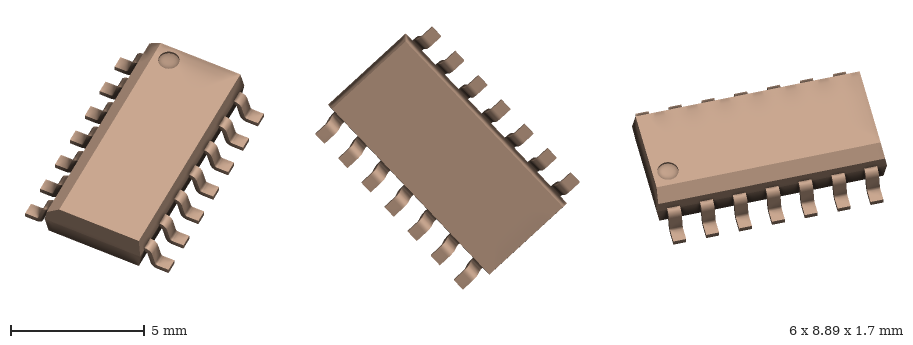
import cadquery as cq
import math

body_width = 4.0
body_length = 8.89
standoff = 0.12
overall_height = 1.7
draft_angle = 8.0
half_height = (overall_height - standoff) / 2
parting_z = standoff + half_height

bevel_width = 0.445
bevel_depth = 0.39

mark_diameter = 0.8
mark_depth = 0.1
mark_x = -0.82
mark_y = 3.74

lead_span = 6.0
lead_count = 7
lead_pitch = 1.27
lead_width = 0.5
lead_thickness = 0.205
lead_embed = 0.18
shoulder_top = 0.99
foot_length = 0.46
inner_radius = 0.1
outer_radius = inner_radius + lead_thickness
bend_angle = math.radians(75)


def make_body():
    """Two halves tapering away from the parting plane, one top edge bevelled."""
    parting = cq.Workplane("XY").workplane(offset=parting_z)
    upper = parting.rect(body_width, body_length).extrude(half_height, taper=draft_angle)
    lower = parting.rect(body_width, body_length).extrude(-half_height, taper=draft_angle)
    upper = upper.faces(">Z").edges("<X").chamfer(bevel_depth, bevel_width)
    return upper.union(lower)


def cut_pin_mark(body):
    """Shallow round recess beside pin 1."""
    mark = (
        cq.Workplane("XY")
        .workplane(offset=overall_height - mark_depth)
        .center(mark_x, mark_y)
        .circle(mark_diameter / 2)
        .extrude(mark_depth)
    )
    return body.cut(mark)


def on_circle(center, radius, angle):
    """Point at the given angle, measured clockwise from straight up."""
    return (center[0] + radius * math.sin(angle), center[1] + radius * math.cos(angle))


def make_lead():
    """Left lead centred on Y = 0: flat foot, sloping shank, shoulder entering the body."""
    tip_x = -lead_span / 2
    inside_x = -body_width / 2 + lead_embed
    shoulder_bottom = shoulder_top - lead_thickness

    bend_radii = inner_radius + outer_radius
    bend_rise = bend_radii * (1 - math.cos(bend_angle))
    shank_length = (shoulder_bottom - bend_rise) / math.sin(bend_angle)
    bend_run = bend_radii * math.sin(bend_angle) + shank_length * math.cos(bend_angle)

    low_center = (tip_x + foot_length, outer_radius)
    high_center = (low_center[0] + bend_run, shoulder_top - outer_radius)
    half_bend = bend_angle / 2
    low_start = math.pi
    low_middle = math.pi - half_bend
    low_end = math.pi - bend_angle

    profile = (
        cq.Workplane("XZ")
        .moveTo(tip_x, 0)
        .lineTo(low_center[0], 0)
        .threePointArc(
            on_circle(low_center, outer_radius, low_middle),
            on_circle(low_center, outer_radius, low_end),
        )
        .lineTo(*on_circle(high_center, inner_radius, -bend_angle))
        .threePointArc(
            on_circle(high_center, inner_radius, -half_bend),
            on_circle(high_center, inner_radius, 0),
        )
        .lineTo(inside_x, shoulder_bottom)
        .lineTo(inside_x, shoulder_top)
        .lineTo(high_center[0], shoulder_top)
        .threePointArc(
            on_circle(high_center, outer_radius, -half_bend),
            on_circle(high_center, outer_radius, -bend_angle),
        )
        .lineTo(*on_circle(low_center, inner_radius, low_end))
        .threePointArc(
            on_circle(low_center, inner_radius, low_middle),
            on_circle(low_center, inner_radius, low_start),
        )
        .lineTo(tip_x, lead_thickness)
        .close()
    )
    return profile.extrude(lead_width / 2, both=True)


result = cut_pin_mark(make_body())
left_lead = make_lead()
right_lead = left_lead.mirror("YZ")
for index in range(lead_count):
    lead_y = (index - (lead_count - 1) / 2) * lead_pitch
    for lead in (left_lead, right_lead):
        result = result.union(lead.translate((0, lead_y, 0)))